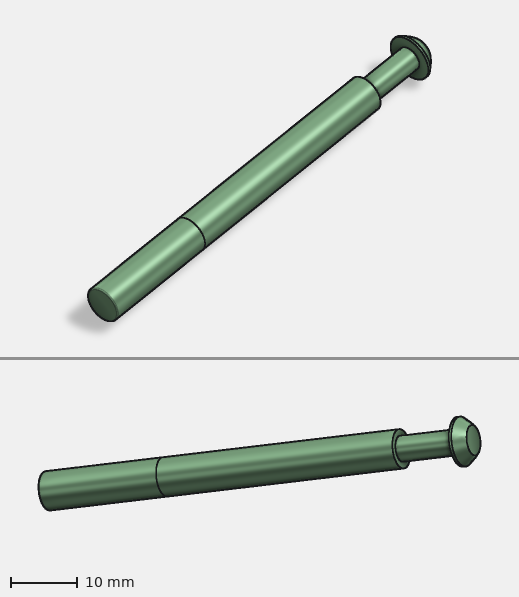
import cadquery as cq

total_length = 72.2
head_height = 2.25
shank_length = 9.95
end_rod_length = 20.0
main_rod_length = total_length - head_height - shank_length - end_rod_length

head_diameter = 7.6
head_top_diameter = 4.6
shank_diameter = 4.0
rod_diameter = 6.0
rim_height = 0.4
dome_bulge = 0.1
end_fillet = 0.2

end_rod_start = -total_length / 2
main_rod_start = end_rod_start + end_rod_length
shank_start = main_rod_start + main_rod_length
head_start = shank_start + shank_length


def cylinder_along_y(diameter, start, length):
    """Solid cylinder on the Y axis, extending toward +Y from start."""
    return cq.Workplane("XZ", origin=(0, start, 0)).circle(diameter / 2).extrude(-length)


def make_screw():
    """Button-head screw whose shank ends flush against the main rod."""
    rim_radius = head_diameter / 2
    top_radius = head_top_diameter / 2
    rim_top = head_start + rim_height
    head_top = head_start + head_height
    head = (
        cq.Workplane("XY")
        .moveTo(0, head_start)
        .lineTo(rim_radius, head_start)
        .lineTo(rim_radius, rim_top)
        .sagittaArc((top_radius, head_top), -dome_bulge)
        .lineTo(0, head_top)
        .close()
        .revolve(360, (0, 0, 0), (0, 1, 0))
    )
    return head.union(cylinder_along_y(shank_diameter, shank_start, shank_length))


def make_main_rod():
    """Long plain rod between the screw and the end rod."""
    return cylinder_along_y(rod_diameter, main_rod_start, main_rod_length)


def make_end_rod():
    """Short rod with a rounded free end."""
    return cylinder_along_y(rod_diameter, end_rod_start, end_rod_length).faces("<Y").fillet(end_fillet)


screw = make_screw()
main_rod = make_main_rod()
end_rod = make_end_rod()

result = cq.Compound.makeCompound([screw.val(), main_rod.val(), end_rod.val()])